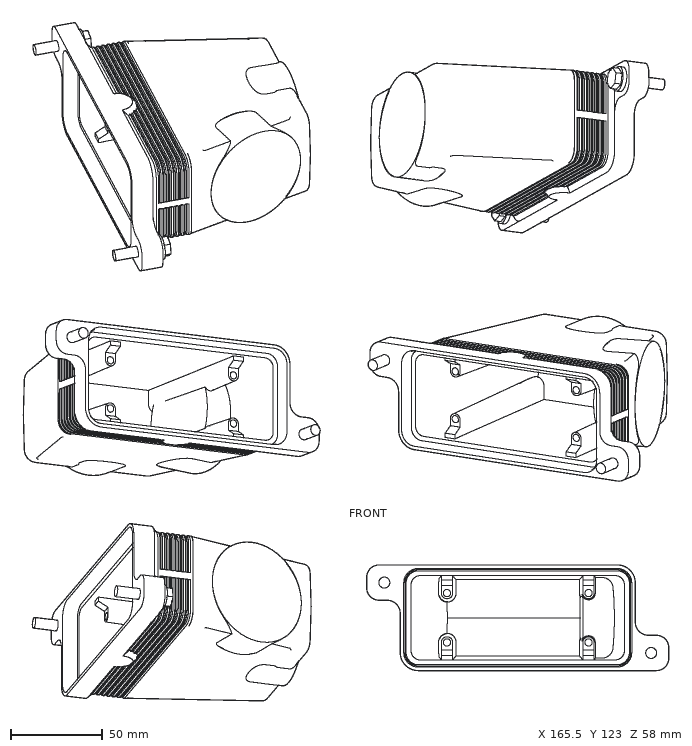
import cadquery as cq
import math


FLANGE_X = 64.4
FLANGE_Z = 29.0
FLANGE_THICKNESS = 12.0
FLANGE_RADIUS = 10.0
EAR_REACH = 82.75
EAR_SIZE = 19.5
EAR_RADIUS = 7.0
EAR_X = EAR_REACH - EAR_SIZE / 2
EAR_Z = FLANGE_Z - EAR_SIZE / 2

PIN_RADIUS = 3.0
PIN_PROTRUSION = 13.0
WASHER_RADIUS = 6.8
WASHER_THICKNESS = 2.3
HEX_CORNER_RADIUS = 5.8
HEX_HEIGHT = 3.7
HEX_TURN = 44.0

COLLAR_INSET = 2.7
COLLAR_X = FLANGE_X - COLLAR_INSET
COLLAR_Z = FLANGE_Z - COLLAR_INSET
COLLAR_RADIUS = FLANGE_RADIUS - COLLAR_INSET
COLLAR_TOP = 35.0
GROOVE_COUNT = 6
GROOVE_PITCH = 3.0
GROOVE_START = 15.9
GROOVE_MOUTH = 2.6
GROOVE_FLOOR = 0.8
GROOVE_DEPTH = 0.5
GROOVE_GAP = 2.1

HOOD_TOP = 110.0
HOOD_Z = COLLAR_Z
SIDE_ANGLE = 15.0
HOOD_DRAFT = 1.3
HOOD_RADIUS = 7.0
HOOD_TOP_RADIUS = 3.0
HOOD_TOP_X = COLLAR_X - (HOOD_TOP - COLLAR_TOP) * math.tan(math.radians(SIDE_ANGLE))
PANEL_BOTTOM = 43.3
PANEL_TOP = 99.3
PANEL_DEPTH = 0.4
PANEL_RAMP = 1.6

BOSS_RADIUS = 29.0
BOSS_ROUND = 6.5
TOP_BOSS_Y = 92.5
SIDE_BOSS_X = 31.8
SIDE_BOSS_Y = 70.0
BOSS_LENGTH = 60.0
PLUG_X = 35.6
PLUG_BACK_X = 34.0
PLUG_FRONT_Y = 42.0
PLUG_EXTENSION = 20.0

LUG_RADIUS = 8.0
LUG_FOOT = 2.7

SEAT_RIM = 2.0
SEAT_STEP = 0.65
SEAT_BAND = 2.7
SEAT_DEPTH = 3 * SEAT_BAND
CAVITY_X = 58.4
CAVITY_Z = 23.1
CAVITY_KNEE_X = 50.6
CAVITY_KNEE_Y = 61.0
CAVITY_BACK_X = 39.4
CAVITY_BACK_Y = 103.0
CAVITY_BACK_Z = 20.9
CAVITY_RADIUS = 5.2
BACK_ANGLE = 10.0

POST_X = 38.7
POST_Z = 13.5
POST_FACE = 17.5
POST_RADIUS = 3.1
POST_DRAFT = 1.25
POST_HOLE_RADIUS = 2.0
POST_HOLE_DEPTH = 12.0
TAB_TIP = 12.0
TAB_TIP_Z = 20.6
TAB_FOOT_Z = 17.6


def plane_at(y):
    """Plane square to Y: local x runs along -X, local y along +Z."""
    return cq.Workplane(cq.Plane(origin=(0, y, 0), xDir=(-1, 0, 0), normal=(0, 1, 0)))


def rounded_block(half_x, half_z, radius, y, length):
    block = plane_at(y).rect(2 * half_x, 2 * half_z).extrude(length)
    return block.edges("|Y").fillet(radius)


def rounded_taper(half_x, half_z, radius, y, length, inset):
    """Rounded block whose outline shrinks by inset over its length."""
    angle = math.degrees(math.atan2(inset, length))
    outline = cq.Sketch().rect(2 * half_x, 2 * half_z).vertices().fillet(radius)
    return plane_at(y).placeSketch(outline).extrude(length, taper=angle)


def half_turn(shape):
    return shape.rotate((0, 0, 0), (0, 1, 0), 180)


def make_flange():
    flange = rounded_block(FLANGE_X, FLANGE_Z, FLANGE_RADIUS, 0, FLANGE_THICKNESS)
    ear_root = FLANGE_X - FLANGE_RADIUS
    ear = (
        plane_at(0)
        .moveTo(ear_root, FLANGE_Z)
        .lineTo(EAR_REACH - EAR_RADIUS, FLANGE_Z)
        .radiusArc((EAR_REACH, FLANGE_Z - EAR_RADIUS), EAR_RADIUS)
        .lineTo(EAR_REACH, FLANGE_Z - EAR_SIZE + EAR_RADIUS)
        .radiusArc((EAR_REACH - EAR_RADIUS, FLANGE_Z - EAR_SIZE), EAR_RADIUS)
        .lineTo(FLANGE_X + EAR_RADIUS, FLANGE_Z - EAR_SIZE)
        .radiusArc((FLANGE_X, FLANGE_Z - EAR_SIZE - EAR_RADIUS), -EAR_RADIUS)
        .lineTo(ear_root, FLANGE_Z - EAR_SIZE - EAR_RADIUS)
        .close()
        .extrude(FLANGE_THICKNESS)
    )
    return flange.union(ear).union(half_turn(ear))


def make_bolt():
    """Bolt through the ear on the -X side."""
    washer_top = FLANGE_THICKNESS + WASHER_THICKNESS
    pin = plane_at(-PIN_PROTRUSION).center(EAR_X, EAR_Z).circle(PIN_RADIUS)
    pin = pin.extrude(PIN_PROTRUSION + FLANGE_THICKNESS)
    washer = plane_at(FLANGE_THICKNESS).center(EAR_X, EAR_Z).circle(WASHER_RADIUS)
    washer = washer.extrude(WASHER_THICKNESS)
    corners = []
    for index in range(6):
        angle = math.radians(60 * index - HEX_TURN)
        corners.append((HEX_CORNER_RADIUS * math.cos(angle), HEX_CORNER_RADIUS * math.sin(angle)))
    head = plane_at(washer_top).center(EAR_X, EAR_Z).polyline(corners).close().extrude(HEX_HEIGHT)
    return pin.union(washer).union(head)


def make_collar():
    foot = rounded_taper(FLANGE_X, FLANGE_Z, FLANGE_RADIUS, FLANGE_THICKNESS, COLLAR_INSET, COLLAR_INSET)
    wall = rounded_block(COLLAR_X, COLLAR_Z, COLLAR_RADIUS, FLANGE_THICKNESS, COLLAR_TOP - FLANGE_THICKNESS)
    return foot.union(wall)


def make_hood():
    half = (
        cq.Workplane("XY")
        .moveTo(-COLLAR_X, FLANGE_THICKNESS)
        .lineTo(COLLAR_X, FLANGE_THICKNESS)
        .lineTo(COLLAR_X, COLLAR_TOP)
        .lineTo(HOOD_TOP_X, HOOD_TOP)
        .lineTo(-HOOD_TOP_X, HOOD_TOP)
        .lineTo(-COLLAR_X, COLLAR_TOP)
        .close()
        .extrude(HOOD_Z, taper=HOOD_DRAFT)
    )
    half = half.faces(">Z").edges("not(|X)").fillet(HOOD_RADIUS)
    half = half.faces(">Y").edges(">Z").fillet(HOOD_TOP_RADIUS)
    return half.union(half.mirror("XY"))


def make_panel_cut():
    """Shallow recess with sloping ends on the +Z face."""
    return (
        cq.Workplane("YZ", origin=(-COLLAR_X, 0, 0))
        .moveTo(PANEL_BOTTOM, HOOD_Z)
        .lineTo(PANEL_BOTTOM + PANEL_RAMP, HOOD_Z - PANEL_DEPTH)
        .lineTo(PANEL_TOP - PANEL_RAMP, HOOD_Z - PANEL_DEPTH)
        .lineTo(PANEL_TOP, HOOD_Z)
        .close()
        .extrude(2 * COLLAR_X)
    )


def make_boss():
    """Cylinder along +Y from the origin with a rounded inner end."""
    return (
        cq.Workplane("XY")
        .lineTo(BOSS_RADIUS - BOSS_ROUND, 0)
        .radiusArc((BOSS_RADIUS, BOSS_ROUND), -BOSS_ROUND)
        .lineTo(BOSS_RADIUS, BOSS_LENGTH)
        .lineTo(0, BOSS_LENGTH)
        .close()
        .revolve(360, (0, 0, 0), (0, 1, 0))
    )


def make_envelope():
    """Tall prism of the hood outline, which trims the outer ends of the bosses."""
    return (
        cq.Workplane("XY", origin=(0, 0, -BOSS_RADIUS))
        .polyline([
            (-COLLAR_X, COLLAR_TOP),
            (COLLAR_X, COLLAR_TOP),
            (HOOD_TOP_X, HOOD_TOP),
            (-HOOD_TOP_X, HOOD_TOP),
        ])
        .close()
        .extrude(2 * BOSS_RADIUS)
    )


def make_top_boss():
    return make_boss().translate((0, TOP_BOSS_Y - BOSS_ROUND, 0)).intersect(make_envelope())


def make_side_boss(extension=0.0):
    """Boss square to the sloping +X side, optionally extended inward."""
    lean = math.radians(SIDE_ANGLE)
    setback = BOSS_ROUND + extension
    end_x = SIDE_BOSS_X - setback * math.cos(lean)
    end_y = SIDE_BOSS_Y - setback * math.sin(lean)
    boss = make_boss().rotate((0, 0, 0), (0, 0, 1), SIDE_ANGLE - 90)
    return boss.translate((end_x, end_y, 0)).intersect(make_envelope())


def make_groove(y):
    """Trapezoidal groove around the collar, interrupted on both ends at Z = 0."""
    flank = (GROOVE_MOUTH - GROOVE_FLOOR) / 2
    ring = rounded_block(FLANGE_X, FLANGE_Z, FLANGE_RADIUS, y, GROOVE_MOUTH)
    floor = rounded_block(
        COLLAR_X - GROOVE_DEPTH, COLLAR_Z - GROOVE_DEPTH, COLLAR_RADIUS - GROOVE_DEPTH, y, GROOVE_MOUTH
    )
    middle = y + GROOVE_MOUTH / 2
    lower = rounded_taper(COLLAR_X, COLLAR_Z, COLLAR_RADIUS, y, flank, GROOVE_DEPTH)
    upper = lower.mirror("XZ", (0, middle, 0))
    band = plane_at(y).rect(2 * FLANGE_X, 2 * GROOVE_GAP).extrude(GROOVE_MOUTH)
    return ring.cut(floor).cut(lower).cut(upper).cut(band)


def make_lug():
    """Half-round lug on the +Z side, flush with the flange and flaring toward the hood."""
    lug = (
        cq.Workplane("XY", origin=(0, FLANGE_THICKNESS, FLANGE_Z - LUG_FOOT))
        .circle(LUG_RADIUS + LUG_FOOT)
        .workplane(offset=LUG_FOOT)
        .circle(LUG_RADIUS)
        .loft()
    )
    above = plane_at(FLANGE_THICKNESS).rect(2 * FLANGE_X, 2 * FLANGE_Z).extrude(2 * LUG_RADIUS)
    return lug.intersect(above)


def make_seat():
    """Stepped opening that receives the mating half."""
    half_x = FLANGE_X - SEAT_RIM
    half_z = FLANGE_Z - SEAT_RIM
    radius = FLANGE_RADIUS - SEAT_RIM
    outer = rounded_taper(half_x, half_z, radius, 0, SEAT_BAND, SEAT_STEP)
    middle = rounded_block(
        half_x - SEAT_STEP, half_z - SEAT_STEP, radius - SEAT_STEP, SEAT_BAND, SEAT_BAND
    )
    inner = rounded_taper(
        half_x - SEAT_STEP, half_z - SEAT_STEP, radius - SEAT_STEP, 2 * SEAT_BAND, SEAT_BAND, SEAT_STEP
    )
    return outer.union(middle).union(inner)


def make_cavity():
    back_slope = (CAVITY_BACK_X - CAVITY_KNEE_X) / (CAVITY_BACK_Y - CAVITY_KNEE_Y)
    back_depth = CAVITY_BACK_Z * math.tan(math.radians(BACK_ANGLE))
    deepest = CAVITY_BACK_Y + back_depth
    right_wall = [
        (CAVITY_X, SEAT_DEPTH),
        (CAVITY_KNEE_X, CAVITY_KNEE_Y),
        (CAVITY_BACK_X + back_slope * back_depth, deepest),
    ]
    left_wall = [(-x, y) for x, y in reversed(right_wall)]
    plan = cq.Workplane("XY", origin=(0, 0, -CAVITY_Z)).polyline(right_wall + left_wall).close()
    plan = plan.extrude(2 * CAVITY_Z)
    z_slope = (CAVITY_BACK_Z - CAVITY_Z) / (CAVITY_BACK_Y - SEAT_DEPTH)
    far_z = CAVITY_BACK_Z + z_slope * back_depth
    wedge = (
        cq.Workplane("YZ", origin=(-CAVITY_X, 0, 0))
        .polyline([(SEAT_DEPTH, CAVITY_Z), (deepest, far_z), (deepest, -far_z), (SEAT_DEPTH, -CAVITY_Z)])
        .close()
        .extrude(2 * CAVITY_X)
    )
    cavity = plan.intersect(wedge).edges("not(|X or |Z)").fillet(CAVITY_RADIUS)
    vee = (
        cq.Workplane("YZ", origin=(-CAVITY_X, 0, 0))
        .polyline([
            (SEAT_DEPTH, CAVITY_Z),
            (CAVITY_BACK_Y, CAVITY_BACK_Z),
            (deepest, 0),
            (CAVITY_BACK_Y, -CAVITY_BACK_Z),
            (SEAT_DEPTH, -CAVITY_Z),
        ])
        .close()
        .extrude(2 * CAVITY_X)
    )
    return cavity.intersect(vee)


def make_plug():
    """Part of the side boss that stands inside the cavity."""
    keep = (
        cq.Workplane("XY", origin=(0, 0, -CAVITY_Z))
        .polyline([
            (PLUG_X, PLUG_FRONT_Y),
            (PLUG_BACK_X, CAVITY_BACK_Y),
            (PLUG_BACK_X, HOOD_TOP),
            (COLLAR_X, HOOD_TOP),
            (COLLAR_X, SEAT_DEPTH),
            (PLUG_X, SEAT_DEPTH),
        ])
        .close()
        .extrude(2 * CAVITY_Z)
    )
    return make_side_boss(PLUG_EXTENSION).intersect(keep).intersect(make_cavity())


def make_post(hood):
    """Fixing post at +X, +Z, kept within the hood, with its screw hole and the tab in front of it."""
    length = CAVITY_BACK_Y - POST_FACE
    outline = (
        cq.Sketch()
        .push([(-POST_X, POST_Z)])
        .circle(POST_RADIUS)
        .reset()
        .push([(-POST_X, (POST_Z + CAVITY_Z) / 2)])
        .rect(2 * POST_RADIUS, CAVITY_Z - POST_Z)
        .clean()
    )
    post = plane_at(POST_FACE).placeSketch(outline).extrude(length, taper=-POST_DRAFT).intersect(hood)
    wall_z = CAVITY_Z + SEAT_STEP
    tab = (
        cq.Workplane("YZ", origin=(POST_X - POST_RADIUS, 0, 0))
        .polyline([
            (POST_FACE, TAB_FOOT_Z),
            (TAB_TIP, TAB_TIP_Z),
            (TAB_TIP, wall_z),
            (POST_FACE, wall_z),
        ])
        .close()
        .extrude(2 * POST_RADIUS)
    )
    hole = plane_at(POST_FACE).center(-POST_X, POST_Z).circle(POST_HOLE_RADIUS).extrude(POST_HOLE_DEPTH)
    return post.union(tab).cut(hole)


def build():
    hood = make_hood()
    panel = make_panel_cut()
    hood = hood.cut(panel).cut(half_turn(panel))
    shell = hood.union(make_collar())
    for index in range(GROOVE_COUNT):
        shell = shell.cut(make_groove(GROOVE_START + index * GROOVE_PITCH))
    shell = shell.union(make_flange()).union(make_top_boss()).union(make_side_boss())
    lug = make_lug()
    bolt = make_bolt()
    shell = shell.union(lug).union(half_turn(lug))
    shell = shell.cut(make_seat()).cut(make_cavity())
    shell = shell.union(bolt).union(half_turn(bolt))
    post = make_post(hood)
    for twin in (post, post.mirror("YZ")):
        shell = shell.union(twin).union(twin.mirror("XY"))
    return shell.union(make_plug())


result = build()